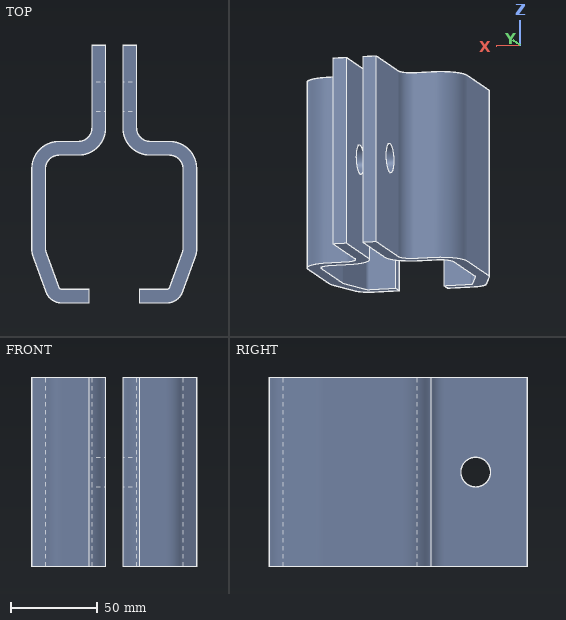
import cadquery as cq
import math

length = 150.0
width = 96.0
height = 110.0
thickness = 8.1

tab_gap = 9.9
mouth_gap = 29.1
shoulder_y = 94.0
taper_y = 29.2
taper_angle = 20.0

shoulder_bend = 7.8
taper_bend = 3.8
lip_bend = 1.8

hole_diameter = 17.1
hole_from_end = 30.0

wall_out = width / 2
wall_in = wall_out - thickness
tab_in = tab_gap / 2
tab_out = tab_in + thickness
lip_end = mouth_gap / 2
shoulder_under = shoulder_y - thickness

taper_slope = math.tan(math.radians(taper_angle))
taper_in_y = taper_y + thickness * math.tan(math.radians(taper_angle / 2))
foot_out = wall_out - taper_y * taper_slope
foot_in = wall_in - (taper_in_y - thickness) * taper_slope


def round_bend(body, concave, convex, inner_radius):
    """Round both faces of one bend with arcs about the same centre."""
    for (x, y), radius in ((concave, inner_radius), (convex, inner_radius + thickness)):
        corner = cq.selectors.NearestToPointSelector((x, y, height / 2))
        body = body.edges("|Z").edges(corner).fillet(radius)
    return body


def make_clamp_half():
    """Bent plate on the +X side, with its bolting tab towards +Y."""
    outline = [
        (tab_in, length),
        (tab_out, length),
        (tab_out, shoulder_y),
        (wall_out, shoulder_y),
        (wall_out, taper_y),
        (foot_out, 0),
        (lip_end, 0),
        (lip_end, thickness),
        (foot_in, thickness),
        (wall_in, taper_in_y),
        (wall_in, shoulder_under),
        (tab_in, shoulder_under),
    ]
    body = cq.Workplane("XY").polyline(outline).close().extrude(height)

    body = round_bend(body, (tab_out, shoulder_y), (tab_in, shoulder_under), shoulder_bend)
    body = round_bend(body, (wall_in, shoulder_under), (wall_out, shoulder_y), shoulder_bend)
    body = round_bend(body, (wall_in, taper_in_y), (wall_out, taper_y), taper_bend)
    body = round_bend(body, (foot_in, thickness), (foot_out, 0), lip_bend)

    bolt_hole = (
        cq.Workplane("YZ")
        .center(length - hole_from_end, height / 2)
        .circle(hole_diameter / 2)
        .extrude(wall_out)
    )
    return body.cut(bolt_hole)


clamp_halves = []
for mirrored in (False, True):
    clamp_half = make_clamp_half()
    if mirrored:
        clamp_half = clamp_half.mirror("YZ")
    clamp_halves.append(clamp_half.val())

result = cq.Compound.makeCompound(clamp_halves)